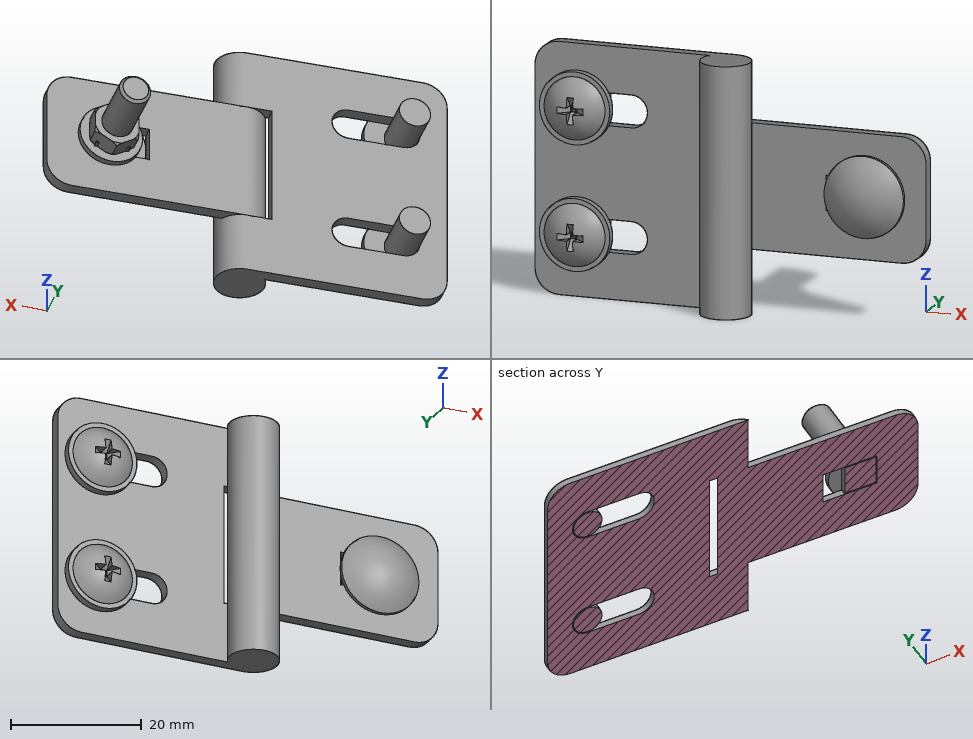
import cadquery as cq
import math


overall_length = 64.0
barrel_height = 40.0
barrel_diameter = 8.0
leaf_thickness = 2.0
leaf_corner_radius = 4.0
half_length = overall_length / 2
barrel_radius = barrel_diameter / 2
narrow_leaf_height = barrel_height / 2
leaf_back = barrel_radius
leaf_front = leaf_back - leaf_thickness

thread_diameter = 5.0
screw_edge_distance = 7.0
screw_spacing = barrel_height / 2
screw_x = screw_edge_distance - half_length
screw_heights = (-screw_spacing / 2, screw_spacing / 2)
screw_collar_diameter = 11.5
screw_collar_thickness = 1.3
screw_dome_diameter = 10.0
screw_dome_height = 2.3
screw_projection = 6.0
slot_width = 5.2
slot_travel = 8.8

recess_length = 4.35
recess_width = 1.0
recess_depth = 2.4
recess_rim_drop = 0.3

bolt_x = 22.0
bolt_projection = 14.0
bolt_tip_chamfer = 0.45
bolt_rim_diameter = 13.0
bolt_rim_thickness = 0.6
bolt_dome_height = 2.55
neck_width = 5.45
neck_length = 4.1
neck_slot_height = 5.6
neck_slot_reach = 6.4
bolt_washer_diameter = 10.0
bolt_washer_thickness = 1.0
nut_across_flats = 7.0
nut_thickness = 3.2
nut_edge_chamfer = 0.4


def box(x_range, y_range, z_range):
    """Box between the given limits along each axis."""
    lows, highs = zip(x_range, y_range, z_range)
    sizes = [high - low for low, high in zip(lows, highs)]
    return cq.Workplane("XY").box(*sizes, centered=False).translate(lows)


def disc(x, z, diameter, y_start, y_end):
    """Round bar along Y."""
    bar = cq.Workplane("XZ").circle(diameter / 2).extrude(y_start - y_end)
    return bar.translate((x, y_start, z))


def dome(x, z, diameter, height, y_base):
    """Spherical cap that rises from y_base toward -Y."""
    radius = diameter / 2
    sphere_radius = (radius**2 + height**2) / (2 * height)
    mid_angle = math.asin(radius / sphere_radius) / 2
    mid_x = sphere_radius * math.sin(mid_angle)
    mid_y = -height + sphere_radius * (1 - math.cos(mid_angle))
    cap = (
        cq.Workplane("XY")
        .lineTo(radius, 0)
        .threePointArc((mid_x, mid_y), (0, -height))
        .close()
        .revolve(360, (0, 0), (0, 1))
    )
    return cap.translate((x, y_base, z))


def leaf(height, x_range, outer_edge):
    """Flat leaf with its two outer corners rounded."""
    plate = box(x_range, (leaf_front, leaf_back), (-height / 2, height / 2))
    return plate.edges("|Y").edges(outer_edge).fillet(leaf_corner_radius)


def wide_leaf():
    """Leaf with two screw slots and a window for the middle knuckle."""
    plate = leaf(barrel_height, (-half_length, 0), "<X")
    through = (leaf_front, leaf_back)
    middle = (-narrow_leaf_height / 2, narrow_leaf_height / 2)
    plate = plate.cut(box((-barrel_radius, 0), through, middle))
    for z in screw_heights:
        slot = disc(screw_x, z, slot_width, *through)
        slot = slot.union(disc(screw_x + slot_travel, z, slot_width, *through))
        sides = (z - slot_width / 2, z + slot_width / 2)
        slot = slot.union(box((screw_x, screw_x + slot_travel), through, sides))
        plate = plate.cut(slot)
    return plate


def narrow_leaf():
    """Leaf with a rectangular slot that holds the square neck of the bolt at its outer end."""
    plate = leaf(narrow_leaf_height, (0, half_length), ">X")
    slot_half_height = neck_slot_height / 2
    slot_x = (bolt_x - neck_slot_reach, bolt_x + slot_half_height)
    slot_z = (-slot_half_height, slot_half_height)
    return plate.cut(box(slot_x, (leaf_front, leaf_back), slot_z))


def cross_recess(apex_y):
    """Cross of two wedge-shaped grooves, deepest at the screw axis."""
    half_span = recess_length / 2
    rim_y = apex_y + recess_rim_drop
    profile = [
        (-half_span, apex_y),
        (-half_span, rim_y),
        (0, apex_y + recess_depth),
        (half_span, rim_y),
        (half_span, apex_y),
    ]
    groove = cq.Workplane("XY").polyline(profile).close().extrude(recess_width / 2, both=True)
    return groove.union(groove.rotate((0, 0, 0), (0, 1, 0), 90))


def screw(z):
    """Domed collar screw with a cross recess."""
    collar_front = leaf_front - screw_collar_thickness
    body = disc(screw_x, z, screw_collar_diameter, collar_front, leaf_front)
    body = body.union(dome(screw_x, z, screw_dome_diameter, screw_dome_height, collar_front))
    recess = cross_recess(collar_front - screw_dome_height)
    body = body.cut(recess.translate((screw_x, 0, z)))
    shank = disc(screw_x, z, thread_diameter, leaf_front, leaf_back + screw_projection)
    return body.union(shank)


def nut(y_start):
    """Hexagon nut with corners toward +Z and -Z, bevelled at both ends."""
    across_corners = nut_across_flats / math.cos(math.pi / 6)
    prism = cq.Workplane("XZ").polygon(6, across_corners).extrude(-nut_thickness)
    prism = prism.rotate((0, 0, 0), (0, 1, 0), 90)
    bevel = disc(0, 0, across_corners, 0, nut_thickness).edges().chamfer(nut_edge_chamfer)
    return prism.intersect(bevel).translate((bolt_x, y_start, 0))


def carriage_bolt():
    """Domed bolt with a square neck, a washer and a nut."""
    rim_front = leaf_front - bolt_rim_thickness
    washer_back = leaf_back + bolt_washer_thickness
    half_neck = neck_width / 2
    body = disc(bolt_x, 0, bolt_rim_diameter, rim_front, leaf_front)
    body = body.union(dome(bolt_x, 0, bolt_rim_diameter, bolt_dome_height, rim_front))
    shank = disc(bolt_x, 0, thread_diameter, leaf_front, leaf_back + bolt_projection)
    body = body.union(shank.faces(">Y").chamfer(bolt_tip_chamfer))
    neck_x = (bolt_x - half_neck, bolt_x + half_neck)
    neck_y = (leaf_front, leaf_front + neck_length)
    body = body.union(box(neck_x, neck_y, (-half_neck, half_neck)))
    body = body.union(disc(bolt_x, 0, bolt_washer_diameter, leaf_back, washer_back))
    return body.union(nut(washer_back))


barrel = cq.Workplane("XY").circle(barrel_radius).extrude(barrel_height / 2, both=True)

result = barrel.union(wide_leaf()).union(narrow_leaf()).union(carriage_bolt())
for screw_z in screw_heights:
    result = result.union(screw(screw_z))